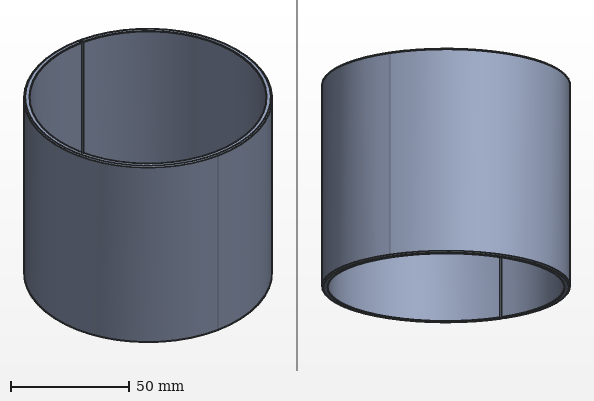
import cadquery as cq

outer_diameter = 105.0
wall = 2.5
height = 90.0
outer_chamfer = 0.6
inner_chamfer = 0.2
slit_width = 0.9
slit_start_y = 0.0

outer_radius = outer_diameter / 2
inner_radius = outer_radius - wall
half_height = height / 2


def sleeve():
    """Revolve the wall section, with the outer rims chamfered and the bore edges broken."""
    rim_radius = outer_radius - outer_chamfer
    shoulder = half_height - outer_chamfer
    bore_rim_radius = inner_radius + inner_chamfer
    bore_shoulder = half_height - inner_chamfer
    section = [
        (inner_radius, -bore_shoulder),
        (bore_rim_radius, -half_height),
        (rim_radius, -half_height),
        (outer_radius, -shoulder),
        (outer_radius, shoulder),
        (rim_radius, half_height),
        (bore_rim_radius, half_height),
        (inner_radius, bore_shoulder),
    ]
    return cq.Workplane("XZ").polyline(section).close().revolve(360, (0, 0), (0, 1))


def slit():
    """Cutter through the wall on the -X side, over the full height."""
    return (
        cq.Workplane("XY")
        .box(outer_radius, slit_width, height, centered=(False, False, True))
        .translate((-outer_radius, slit_start_y, 0))
    )


result = sleeve().cut(slit())